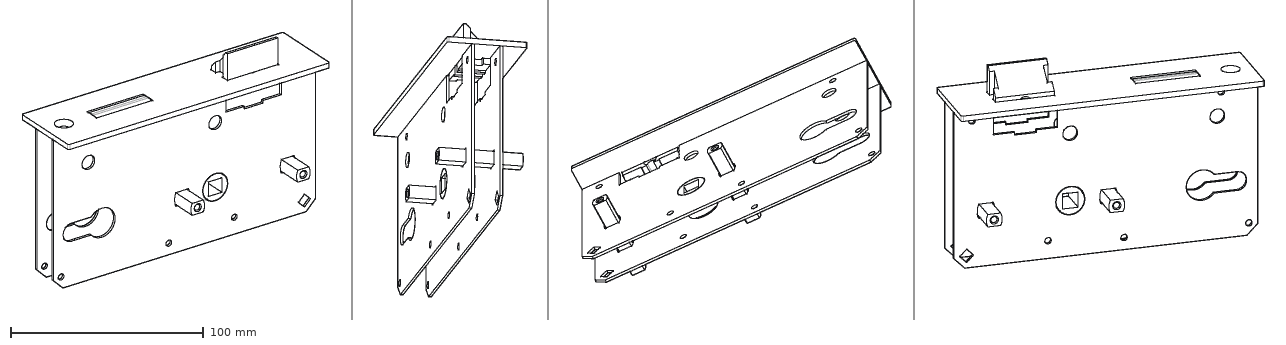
import cadquery as cq
import math


case_height = 87.8
case_half_length = 83.0
case_outer_half_width = 8.3
case_plate_thickness = 1.5
case_corner_chamfer = 6.0
case_inner_half_width = case_outer_half_width - case_plate_thickness

faceplate_width = 42.8
faceplate_length = 165.7
faceplate_thickness = 3.0
faceplate_corner_radius = 1.0
faceplate_center_y = case_half_length - faceplate_length / 2
faceplate_top = case_height + faceplate_thickness
screw_y = -70.7
screw_hole_diameter = 6.0
screw_head_diameter = 10.0

total_height = 106.0
latch_width = 14.6
latch_length = 32.0
latch_y = 43.8
latch_bottom = 84.7
latch_tip_width = 1.5
latch_groove_width = 6.8
latch_groove_depth = 2.7
latch_foot_width = 10.3
latch_foot_height = 1.0
latch_hole_z = 88.1
latch_slot_width = 4.3
latch_countersink_diameter = 7.3
bolt_side_clearance = 0.42
bolt_end_clearance = 0.25

window_width = 35.0
window_bottom = 72.9
window_notch_width = 12.0
window_notch_depth = 1.5

deadbolt_width = 8.5
deadbolt_length = 35.0
deadbolt_y = -35.2
deadbolt_bottom = 73.7
deadbolt_flat_width = 1.7
deadbolt_shoulder_drop = 0.8
deadbolt_side_clearance = 0.2

spindle_z = 31.0
follower_y = 19.5
follower_hub_diameter = 17.0
follower_hub_width = 12.5
follower_journal_diameter = 15.5
follower_hole_diameter = 16.0
follower_square = 8.5

post_positions = (65.4, -1.5)
post_length = 45.0
post_square = 7.0
post_side_bulge = 0.8
post_clearance = 0.5
post_bore_diameter = 3.3
post_bore_mouth = 4.5
post_bore_depth = 10.0
drill_point_angle = 118

keyhole_y = -52.5
keyhole_diameter = 17.0
keyhole_slot_width = 10.5
keyhole_slot_end_y = -71.7

rivet_hole_diameter = 3.5
rivet_holes = ((73.0, 82.0), (-63.0, 82.0), (31.5, 10.0), (-10.0, 6.8), (-78.2, 6.8))
fixing_hole_diameter = 8.0
fixing_holes = ((follower_y, 68.7), (-61.0, 68.7))
diamond_center = (76.0, 6.8)
diamond_side = 5.3


def side_plane(x):
    """Sketch plane facing +X at the given x, with sketch axes along Y and Z."""
    return cq.Workplane("YZ", origin=(x, 0, 0))


def across(sketch, width):
    """Extrude a YZ sketch along X to a total width, centred on x = 0."""
    return sketch.extrude(width).translate((-width / 2, 0, 0))


def post_prism(clearance, length, y):
    """Square bar along X whose two Y sides bulge outward as arcs, grown by a clearance."""
    half_square = post_square / 2 + clearance
    half_bulged = half_square + post_side_bulge
    return across(
        side_plane(0)
        .center(y, spindle_z)
        .moveTo(-half_square, -half_square)
        .lineTo(half_square, -half_square)
        .threePointArc((half_bulged, 0), (half_square, half_square))
        .lineTo(-half_square, half_square)
        .threePointArc((-half_bulged, 0), (-half_square, -half_square))
        .close(),
        length,
    )


def case_cutouts():
    """Everything that is cut through both case plates."""
    width = 2 * case_outer_half_width
    window_height = case_height - window_bottom
    window = side_plane(0).center(latch_y, window_bottom + window_height / 2).rect(window_width, window_height)
    cutouts = across(window, width)
    notch = side_plane(0).center(latch_y, window_bottom).rect(window_notch_width, 2 * window_notch_depth)
    cutouts = cutouts.union(across(notch, width))

    keyhole_round = across(side_plane(0).center(keyhole_y, spindle_z).circle(keyhole_diameter / 2), width)
    keyhole_slot_length = keyhole_y - keyhole_slot_end_y + keyhole_slot_width
    keyhole_slot_middle = side_plane(0).center((keyhole_y + keyhole_slot_end_y) / 2, spindle_z)
    keyhole_slot = keyhole_slot_middle.slot2D(keyhole_slot_length, keyhole_slot_width)
    cutouts = cutouts.union(keyhole_round).union(across(keyhole_slot, width))

    follower_hole = side_plane(0).center(follower_y, spindle_z).circle(follower_hole_diameter / 2)
    cutouts = cutouts.union(across(follower_hole, width))
    for points, diameter in ((rivet_holes, rivet_hole_diameter), (fixing_holes, fixing_hole_diameter)):
        cutouts = cutouts.union(across(side_plane(0).pushPoints(points).circle(diameter / 2), width))

    diamond = across(side_plane(0).rect(diamond_side, diamond_side), width)
    diamond = diamond.rotate((0, 0, 0), (1, 0, 0), 45).translate((0, *diamond_center))
    cutouts = cutouts.union(diamond)

    for y in post_positions:
        cutouts = cutouts.union(post_prism(post_clearance, width, y))
    return cutouts


def make_case_plate(inner_x):
    """Flat plate with its two lower corners cut off, starting at inner_x and growing toward +X."""
    plate = (
        side_plane(inner_x)
        .center(0, case_height / 2)
        .rect(2 * case_half_length, case_height)
        .extrude(case_plate_thickness)
        .edges("|X and <Z")
        .chamfer(case_corner_chamfer)
    )
    return plate.cut(case_cutouts())


def latch_footprint(side_clearance, end_clearance, bottom, height):
    """Prism with a guide groove in each end: the latch section grown by clearances."""
    length = latch_length + 2 * end_clearance
    base = cq.Workplane("XY", origin=(0, latch_y, bottom))
    prism = base.rect(latch_width + 2 * side_clearance, length).extrude(height)
    grooves = (
        base.pushPoints([(0, -length / 2), (0, length / 2)])
        .rect(latch_groove_width - 2 * side_clearance, 2 * latch_groove_depth)
        .extrude(height)
    )
    return prism.cut(grooves)


def make_faceplate():
    plate = (
        cq.Workplane("XY", origin=(0, faceplate_center_y, case_height))
        .rect(faceplate_width, faceplate_length)
        .extrude(faceplate_thickness)
        .edges("|Z")
        .fillet(faceplate_corner_radius)
    )
    latch_opening = latch_footprint(bolt_side_clearance, bolt_end_clearance, case_height, faceplate_thickness)
    deadbolt_opening = (
        cq.Workplane("XY", origin=(0, deadbolt_y, case_height))
        .rect(deadbolt_width + 2 * deadbolt_side_clearance, deadbolt_length + 2 * bolt_end_clearance)
        .extrude(faceplate_thickness)
    )
    screw_hole = (
        cq.Workplane("XY", origin=(0, screw_y, case_height))
        .circle(screw_hole_diameter / 2)
        .workplane(offset=faceplate_thickness)
        .circle(screw_head_diameter / 2)
        .loft()
    )
    return plate.cut(latch_opening).cut(deadbolt_opening).cut(screw_hole)


def make_latch():
    half_width = latch_width / 2
    body = latch_footprint(0, 0, latch_bottom, total_height - latch_bottom)

    bevel_rise = latch_width - latch_tip_width
    bevel = (
        cq.Workplane("XZ", origin=(0, latch_y, 0))
        .moveTo(-half_width, total_height - bevel_rise)
        .lineTo(-half_width, total_height)
        .lineTo(half_width - latch_tip_width, total_height)
        .close()
        .extrude(latch_length, both=True)
    )

    foot = cq.Workplane("XY", origin=(0, latch_y, latch_bottom - latch_foot_height))
    foot = foot.rect(latch_width, latch_foot_width).extrude(latch_foot_height)

    slot_height = latch_hole_z - latch_bottom + latch_foot_height
    slot_profile = side_plane(0).center(latch_y, latch_hole_z - slot_height / 2)
    slot = across(slot_profile.rect(latch_slot_width, slot_height), latch_width)
    hole = across(side_plane(0).center(latch_y, latch_hole_z).circle(latch_slot_width / 2), latch_width)
    countersink_depth = (latch_countersink_diameter - latch_slot_width) / 2
    countersink = (
        side_plane(-half_width)
        .center(latch_y, latch_hole_z)
        .circle(latch_countersink_diameter / 2)
        .workplane(offset=countersink_depth)
        .circle(latch_slot_width / 2)
        .loft()
    )
    return body.cut(bevel).union(foot).cut(slot).cut(hole).cut(countersink)


def make_deadbolt():
    """Bar with a narrow flat crown and a rounded shoulder on each side, flush with the faceplate."""
    half_width = deadbolt_width / 2
    half_flat = deadbolt_flat_width / 2
    shoulder_run = half_width - half_flat
    shoulder_z = faceplate_top - deadbolt_shoulder_drop
    radius = (shoulder_run**2 + deadbolt_shoulder_drop**2) / (2 * deadbolt_shoulder_drop)
    half_angle = math.asin(shoulder_run / radius) / 2
    mid_x = half_flat + radius * math.sin(half_angle)
    mid_z = faceplate_top - radius * (1 - math.cos(half_angle))
    return (
        cq.Workplane("XZ", origin=(0, deadbolt_y, 0))
        .moveTo(-half_width, deadbolt_bottom)
        .lineTo(half_width, deadbolt_bottom)
        .lineTo(half_width, shoulder_z)
        .threePointArc((mid_x, mid_z), (half_flat, faceplate_top))
        .lineTo(-half_flat, faceplate_top)
        .threePointArc((-mid_x, mid_z), (-half_width, shoulder_z))
        .close()
        .extrude(deadbolt_length / 2, both=True)
    )


def make_follower():
    """Hub between the case plates, with journals turning in them and a square spindle hole."""
    axis = side_plane(0).center(follower_y, spindle_z)
    hub = across(axis.circle(follower_hub_diameter / 2), follower_hub_width)
    journals = across(axis.circle(follower_journal_diameter / 2), 2 * case_outer_half_width)
    square_hole = across(axis.rect(follower_square, follower_square), 2 * case_outer_half_width)
    return hub.union(journals).cut(square_hole)


def make_post(y):
    """Post with a countersunk blind bore, ending in a drill point, in each end."""
    post = post_prism(0, post_length, y)
    bore_radius = post_bore_diameter / 2
    mouth_radius = post_bore_mouth / 2
    mouth_depth = mouth_radius - bore_radius
    point_depth = bore_radius / math.tan(math.radians(drill_point_angle / 2))
    end_x = post_length / 2
    bore = (
        cq.Workplane("XY")
        .moveTo(end_x, 0)
        .lineTo(end_x, mouth_radius)
        .lineTo(end_x - mouth_depth, bore_radius)
        .lineTo(end_x - post_bore_depth, bore_radius)
        .lineTo(end_x - post_bore_depth - point_depth, 0)
        .close()
        .revolve(360, (0, 0, 0), (1, 0, 0))
    )
    bores = bore.union(bore.mirror("YZ")).translate((0, y, spindle_z))
    return post.cut(bores)


faceplate = make_faceplate()
case_plates = [make_case_plate(inner_x) for inner_x in (-case_outer_half_width, case_inner_half_width)]
latch = make_latch()
deadbolt = make_deadbolt()
follower = make_follower()
posts = [make_post(y) for y in post_positions]

result = cq.Compound.makeCompound(
    [
        faceplate.val(),
        *[plate.val() for plate in case_plates],
        latch.val(),
        deadbolt.val(),
        follower.val(),
        *[post.val() for post in posts],
    ]
)